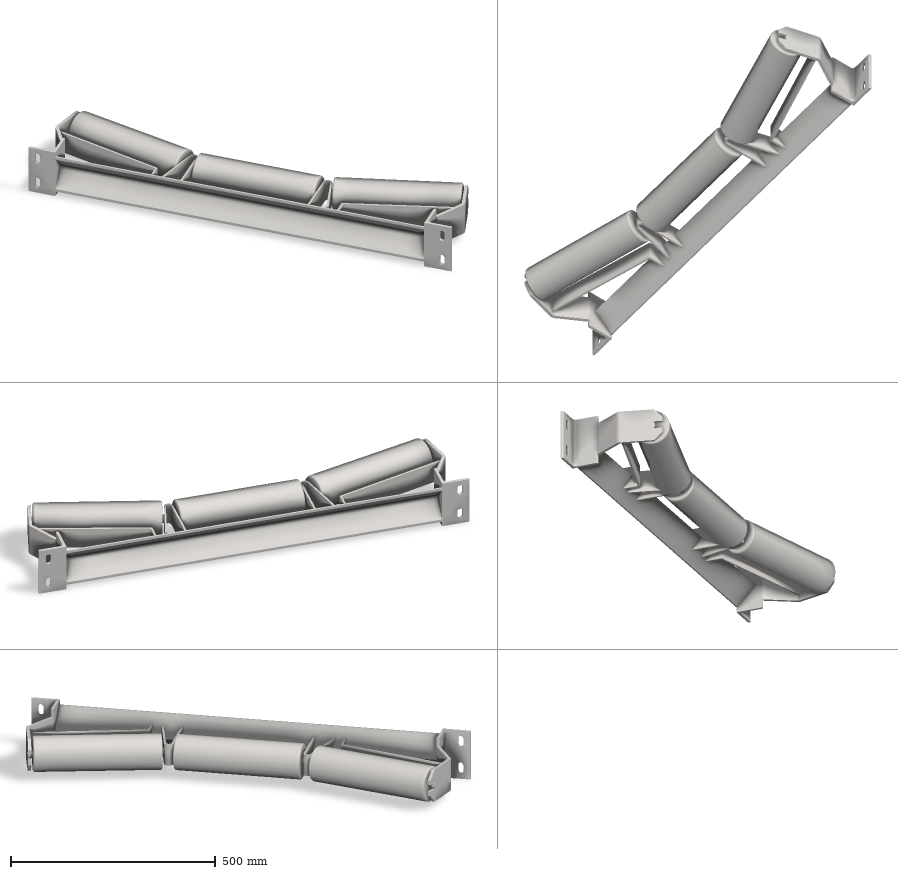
import cadquery as cq
import math

overall_length = 1100.0
overall_depth = 264.0

foot_leg = 70.0
foot_thickness = 7.0
foot_height = 125.0
foot_fillet = 9.0
foot_toe_radius = 3.0
slot_width = 13.0
slot_height = 29.0
slot_from_edge = 24.0
slot_spacing = 69.0
foot_back_x = overall_length / 2 - foot_leg

beam_thickness = 8.0
beam_fillet = 7.0
beam_width = 99.0
beam_length = 2 * foot_back_x
beam_corner_y = 54.0

roller_diameter = 89.0
roller_length = 317.0
roller_edge_fillet = 4.0
roller_end_gap = 4.0
shaft_diameter = 21.0
shaft_flat_width = 18.0
shaft_half_length = roller_length / 2 + roller_end_gap

trough_angle = math.radians(15)
centre_roller_y = 134.0
side_roller_x = 346.0
corner_radius = roller_diameter / 2 - roller_edge_fillet
corner_reach = roller_length / 2 - roller_edge_fillet
side_roller_y = (
    overall_depth
    - roller_edge_fillet
    - corner_reach * math.sin(trough_angle)
    - corner_radius * math.cos(trough_angle)
)

arm_width = 82.0
arm_thickness = 8.0
arm_lean = math.radians(30)
arm_tip_y = 253.0
arm_tip_chamfer = 21.0
arm_bend_radius = 14.0
arm_outer_face = shaft_half_length + arm_thickness

strip_width = 55.0
strip_thickness = 5.0
hoop_bend_radius = 9.2
brace_foot_x = 242.0
brace_bend_y = 69.0
brace_slope = math.radians(16)


axis_x = math.cos(trough_angle)
axis_y = math.sin(trough_angle)
side_roller_plane = cq.Plane(
    origin=(side_roller_x, side_roller_y, 0), xDir=(-axis_y, axis_x, 0), normal=(axis_x, axis_y, 0)
)
centre_roller_plane = cq.Plane(origin=(0, centre_roller_y, 0), xDir=(0, 0, 1), normal=(1, 0, 0))


def side_point(along, across):
    """XY point given in the side roller's own directions."""
    return (
        side_roller_x + along * axis_x - across * axis_y,
        side_roller_y + along * axis_y + across * axis_x,
    )


def across_at_y(along, y):
    """How far across the side roller's axis a given Y is reached."""
    return (y - side_roller_y - along * axis_y) / axis_x


def arm_bend_point(along, start_x):
    """Where the leaning part of the arm, rising from the foot, meets its part across the roller."""
    to_line = along - (start_x - side_roller_x) * axis_x - (foot_leg - side_roller_y) * axis_y
    rise = to_line / (math.tan(arm_lean) * axis_x + axis_y)
    return (start_x + rise * math.tan(arm_lean), foot_leg + rise)


def flat_plate(points, width):
    """Plate with the given XY outline, centred on Z = 0."""
    return cq.Workplane("XY", origin=(0, 0, -width / 2)).polyline(points).close().extrude(width)


def beam_envelope():
    """The wedge under the two outer faces of the beam, which notches the strips standing on it."""
    return (
        cq.Workplane("YZ")
        .polyline([(beam_corner_y, 0), (0, -beam_corner_y), (0, beam_corner_y)])
        .close()
        .extrude(overall_length / 2)
    )


def make_beam():
    half_width = beam_width / 2
    side_top_y = beam_corner_y - half_width
    inner_corner_y = beam_corner_y - beam_thickness * math.sqrt(2)
    fillet_z = beam_fillet * math.sqrt(0.5)
    fillet_end_y = inner_corner_y - fillet_z
    fillet_middle_y = inner_corner_y - beam_fillet * (math.sqrt(2) - 1)
    return (
        cq.Workplane("YZ", origin=(-beam_length / 2, 0, 0))
        .moveTo(beam_corner_y, 0)
        .lineTo(side_top_y, half_width)
        .lineTo(0, half_width)
        .lineTo(0, inner_corner_y)
        .lineTo(fillet_end_y, fillet_z)
        .threePointArc((fillet_middle_y, 0), (fillet_end_y, -fillet_z))
        .lineTo(0, -inner_corner_y)
        .lineTo(0, -half_width)
        .lineTo(side_top_y, -half_width)
        .close()
        .extrude(beam_length)
    )


def make_foot():
    web_x = foot_back_x + foot_thickness
    fillet_end = foot_thickness + foot_fillet
    foot = (
        cq.Workplane("XY", origin=(0, 0, -foot_height / 2))
        .moveTo(foot_back_x, 0)
        .lineTo(overall_length / 2, 0)
        .lineTo(overall_length / 2, foot_thickness - foot_toe_radius)
        .radiusArc((overall_length / 2 - foot_toe_radius, foot_thickness), -foot_toe_radius)
        .lineTo(web_x + foot_fillet, foot_thickness)
        .radiusArc((web_x, fillet_end), foot_fillet)
        .lineTo(web_x, foot_leg - foot_toe_radius)
        .radiusArc((web_x - foot_toe_radius, foot_leg), -foot_toe_radius)
        .lineTo(foot_back_x, foot_leg)
        .close()
        .extrude(foot_height)
    )
    slots = (
        cq.Workplane("XZ", origin=(overall_length / 2 - slot_from_edge, 0, 0))
        .rarray(11, slot_spacing, 1, 2)
        .slot2D(slot_height, slot_width, 90)
        .extrude(-foot_thickness)
    )
    return foot.cut(slots)


def flatted_shaft_end():
    """Shaft end with two flats, as long as the arm is thick, on the outer end of the side roller."""
    end = cq.Workplane(side_roller_plane).workplane(offset=shaft_half_length)
    flats = end.rect(shaft_diameter, shaft_flat_width).extrude(arm_thickness)
    return end.circle(shaft_diameter / 2).extrude(arm_thickness).intersect(flats)


def make_arm():
    outer_start_x = foot_back_x + arm_thickness / math.cos(arm_lean)
    outer_bend = arm_bend_point(arm_outer_face, outer_start_x)
    tip_across = across_at_y(arm_outer_face, arm_tip_y)
    arm = flat_plate(
        [
            (foot_back_x, foot_leg),
            (outer_start_x, foot_leg),
            outer_bend,
            side_point(arm_outer_face, tip_across),
            side_point(shaft_half_length, tip_across),
            arm_bend_point(shaft_half_length, foot_back_x),
        ],
        arm_width,
    )
    nearest_to = cq.selectors.NearestToPointSelector
    arm = arm.edges(nearest_to((*outer_bend, 0))).fillet(arm_bend_radius)

    tip_middle = side_point(shaft_half_length + arm_thickness / 2, tip_across)
    for z in (-arm_width / 2, arm_width / 2):
        arm = arm.edges(nearest_to((*tip_middle, z))).chamfer(arm_tip_chamfer)

    slot = (
        cq.Workplane(side_roller_plane)
        .workplane(offset=shaft_half_length)
        .center(tip_across / 2, 0)
        .rect(tip_across, shaft_flat_width)
        .extrude(arm_thickness)
    )
    return arm.cut(slot).cut(flatted_shaft_end())


def make_brace():
    half = strip_thickness / 2
    half_rise = half / math.cos(brace_slope)
    end_x = overall_length / 2

    def slope_y(x):
        return brace_bend_y + (x - brace_foot_x) * math.tan(brace_slope)

    brace = flat_plate(
        [
            (brace_foot_x + half, 0),
            (brace_foot_x + half, slope_y(brace_foot_x + half) - half_rise),
            (end_x, slope_y(end_x) - half_rise),
            (end_x, slope_y(end_x) + half_rise),
            (brace_foot_x - half, slope_y(brace_foot_x - half) + half_rise),
            (brace_foot_x - half, 0),
        ],
        strip_width,
    )
    beyond_arm = (
        cq.Workplane(side_roller_plane)
        .workplane(offset=shaft_half_length)
        .rect(overall_length, overall_length)
        .extrude(overall_length)
    )
    return brace.cut(beyond_arm).cut(beam_envelope())


def make_bracket():
    """Foot, arm and brace, welded into one."""
    return make_foot().union(make_arm()).union(make_brace())


def make_hoop():
    """Strip with one leg beside the centre roller and one beside the side roller."""
    near_face = shaft_half_length
    far_face = shaft_half_length + strip_thickness
    bend_x = shaft_half_length + strip_thickness / 2 + hoop_bend_radius
    bend_across = (side_roller_x - bend_x * axis_x - bend_x) / axis_y
    bend_y = side_point(-bend_x, bend_across)[1]
    return (
        cq.Workplane("XY", origin=(0, 0, -strip_width / 2))
        .moveTo(near_face, 0)
        .lineTo(near_face, bend_y)
        .threePointArc((bend_x, bend_y + bend_x - near_face), side_point(-near_face, bend_across))
        .lineTo(*side_point(-near_face, across_at_y(-near_face, 0)))
        .lineTo(*side_point(-far_face, across_at_y(-far_face, 0)))
        .lineTo(*side_point(-far_face, bend_across))
        .threePointArc((bend_x, bend_y + bend_x - far_face), (far_face, bend_y))
        .lineTo(far_face, 0)
        .close()
        .extrude(strip_width)
        .cut(beam_envelope())
    )


def make_roller(plane):
    drum_end = cq.Workplane(plane).workplane(offset=-roller_length / 2)
    drum = drum_end.circle(roller_diameter / 2).extrude(roller_length)
    drum = drum.edges("%CIRCLE").fillet(roller_edge_fillet)
    shaft_end = cq.Workplane(plane).workplane(offset=-shaft_half_length)
    shaft = shaft_end.circle(shaft_diameter / 2).extrude(2 * shaft_half_length)
    return drum.union(shaft)


def make_side_roller():
    return make_roller(side_roller_plane).union(flatted_shaft_end())


beam = make_beam()
centre_roller = make_roller(centre_roller_plane)
bodies = [beam.val(), centre_roller.val()]
for make_body in (make_bracket, make_hoop, make_side_roller):
    body = make_body()
    bodies += [body.val(), body.mirror("YZ").val()]

result = cq.Compound.makeCompound(bodies)